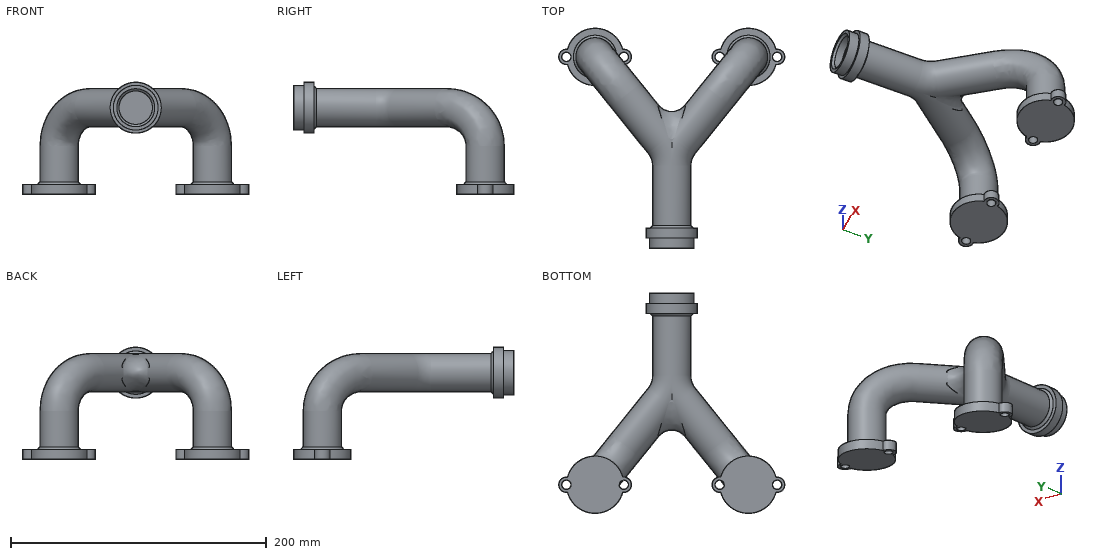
import cadquery as cq
import math

pipe_radius = 15.0
bend_radius = 30.1
axis_height = 68.0
outlet_x = 60.0
inlet_end_y = -150.0
junction_y = -74.5
crotch_radius = 13.1
web_overlap = 0.04
wedge_inset = 0.9

flange_radius = 22.5
flange_thickness = 8.0
lug_offset = 22.5
lug_radius = 6.0
bolt_hole_diameter = 7.0

collar_radius = 20.0
collar_length = 8.0
spigot_radius = 17.5
spigot_length = 8.0
socket_radius = 13.1
socket_depth = 8.0
socket_chamfer = 1.8

seat_size = 2.0

branch_length = math.hypot(outlet_x, junction_y)
branch_x = outlet_x / branch_length
branch_y = -junction_y / branch_length
branch_angle = math.atan2(branch_x, branch_y)

collar_y = inlet_end_y + spigot_length + collar_length


def along_branch(distance, z=axis_height):
    """Point on the right branch, measured from the junction."""
    return cq.Vector(distance * branch_x, junction_y + distance * branch_y, z)


def make_branch_pipe():
    """Right-hand pipe from the inlet collar to its outlet flange."""
    entry_y = junction_y - bend_radius * math.tan(branch_angle / 2)
    entry_bend_end = along_branch(junction_y - entry_y)

    elbow_length = bend_radius / branch_y
    drop_start = along_branch(branch_length - elbow_length)
    drop_end = along_branch(branch_length, axis_height - bend_radius)

    entry = cq.Vector(0, entry_y, axis_height)
    straight = cq.Edge.makeLine(cq.Vector(0, collar_y, axis_height), entry)
    entry_bend = cq.Edge.makeTangentArc(entry, cq.Vector(0, 1, 0), entry_bend_end)
    run = cq.Edge.makeLine(entry_bend_end, drop_start)
    elbow = cq.Edge.makeEllipse(
        elbow_length,
        bend_radius,
        pnt=along_branch(branch_length - elbow_length, axis_height - bend_radius),
        dir=cq.Vector(branch_y, -branch_x, 0),
        xdir=cq.Vector(branch_x, branch_y, 0),
        angle1=0,
        angle2=90,
    )
    drop = cq.Edge.makeLine(drop_end, cq.Vector(outlet_x, 0, flange_thickness))
    path = cq.Wire.assembleEdges([straight, entry_bend, run, elbow, drop])
    return (
        cq.Workplane("XZ", origin=(0, collar_y, axis_height))
        .circle(pipe_radius)
        .sweep(cq.Workplane(obj=path))
    )


def make_seat(base, direction):
    """Cone that narrows from a mounting face down to the pipe."""
    cone = cq.Solid.makeCone(pipe_radius + seat_size, pipe_radius, seat_size, base, direction)
    return cq.Workplane(obj=cone)


def make_flange():
    """Right-hand outlet flange with two bolt lugs and a conical pipe seat."""
    lug_points = [(-lug_offset, 0), (lug_offset, 0)]
    flange = cq.Workplane("XY").circle(flange_radius).extrude(flange_thickness)
    lugs = cq.Workplane("XY").pushPoints(lug_points).circle(lug_radius).extrude(flange_thickness)
    holes = cq.Workplane("XY").pushPoints(lug_points).circle(bolt_hole_diameter / 2).extrude(flange_thickness)
    seat = make_seat(cq.Vector(0, 0, flange_thickness), cq.Vector(0, 0, 1))
    return flange.union(lugs).cut(holes).union(seat).translate((outlet_x, 0, 0))


def make_inlet_fitting():
    """Collar and spigot closing the common pipe, with a blind chamfered socket."""
    fitting = (
        cq.Workplane("XZ", origin=(0, collar_y, axis_height))
        .circle(collar_radius)
        .extrude(collar_length)
        .faces("<Y")
        .workplane()
        .circle(spigot_radius)
        .extrude(spigot_length)
        .faces("<Y")
        .workplane()
        .hole(2 * socket_radius, socket_depth)
        .faces("<Y")
        .edges(cq.selectors.RadiusNthSelector(0))
        .chamfer(socket_chamfer)
    )
    seat = make_seat(cq.Vector(0, collar_y, axis_height), cq.Vector(0, 1, 0))
    return fitting.union(seat)


def make_crotch_web():
    """Web that rounds the crotch, hollowed by a ball rolling against both branches."""
    ball_reach = pipe_radius + crotch_radius - web_overlap
    crotch_center = ball_reach / math.sin(branch_angle)

    wedge_depth = pipe_radius - wedge_inset

    touch = along_branch(crotch_center * math.cos(branch_angle))
    touch_x = touch.x - wedge_depth * branch_y
    touch_y = touch.y + wedge_depth * branch_x
    wedge = (
        cq.Workplane("XY", origin=(0, 0, axis_height - wedge_depth))
        .polyline([(0, junction_y), (touch_x, touch_y), (-touch_x, touch_y)])
        .close()
        .extrude(2 * wedge_depth)
    )

    ball_path = (
        cq.Workplane("YZ", origin=(0, junction_y, axis_height))
        .parametricCurve(
            lambda t: (crotch_center * math.sin(math.pi * t), ball_reach * math.cos(math.pi * t), 0)
        )
    )
    ball_sweep = (
        cq.Workplane("XZ", origin=(0, junction_y, axis_height))
        .center(0, ball_reach)
        .circle(crotch_radius)
        .sweep(ball_path)
    )
    return wedge.cut(ball_sweep)


def mirrored_pair(right_half):
    """Join a right-hand body with its mirror image across the YZ plane."""
    return right_half.union(right_half.mirror("YZ"))


pipes = mirrored_pair(make_branch_pipe()).union(make_crotch_web())
flanges = mirrored_pair(make_flange())
result = pipes.union(make_inlet_fitting()).union(flanges)